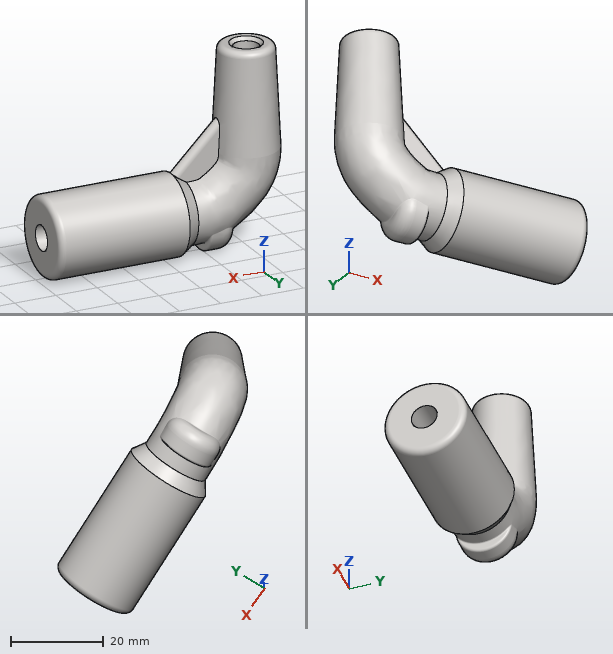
import cadquery as cq
import math

total_length = 57.15
barrel_radius = 9.515
neck_radius = 7.6
end_rounding = 1.5

bend_height = 12.75
bend_length = 15.2

spigot_top = 36.9
spigot_tip_radius = 6.4

barrel_start = 18.25
barrel_end = total_length - neck_radius

bore_radius = 3.0
mouth_chamfer = 0.8

web_width = 3.1
web_depth = 9.15
web_inset = 3.45
ridge_intercept = barrel_start + barrel_radius

lug_start = 5.1
lug_end = 11.55
lug_radius = 6.45
lug_bottom = -9.55
lug_nose_rounding = 3.2
lug_back_rounding = 0.6
lug_root_fillet = 0.3


def make_elbow(radius):
    """Round bar following the bend from the spigot root to the barrel shoulder."""
    centreline = cq.Workplane("XZ").moveTo(0, bend_height).spline(
        [
            (
                bend_length * (1 - math.cos(math.radians(angle))),
                bend_height * (1 - math.sin(math.radians(angle))),
            )
            for angle in (30, 60, 90)
        ],
        tangents=[(0, -1), (1, 0)],
        includeCurrent=True,
    )
    return cq.Workplane("XY", origin=(0, 0, bend_height)).circle(radius).sweep(centreline)


def make_spigot():
    return (
        cq.Workplane("XZ")
        .moveTo(0, bend_height)
        .lineTo(neck_radius, bend_height)
        .lineTo(spigot_tip_radius, spigot_top)
        .lineTo(0, spigot_top)
        .close()
        .revolve(360, (0, 0, 0), (0, 1, 0))
        .faces(">Z")
        .edges()
        .fillet(end_rounding)
    )


def make_barrel():
    return (
        cq.Workplane("XZ")
        .moveTo(bend_length, 0)
        .lineTo(bend_length, neck_radius)
        .lineTo(barrel_start, barrel_radius)
        .lineTo(barrel_end, barrel_radius)
        .lineTo(barrel_end, 0)
        .close()
        .revolve(360, (0, 0, 0), (1, 0, 0))
        .faces(">X")
        .edges()
        .fillet(end_rounding)
    )


def make_web():
    """Round-edged bar sloping at 45 degrees, its ends and lower edge buried in the body."""
    ridge_plane = cq.Plane(
        origin=(web_inset, 0, ridge_intercept - web_inset),
        xDir=(0, 1, 0),
        normal=(1, 0, -1),
    )
    half_width = web_width / 2
    return (
        cq.Workplane(ridge_plane)
        .moveTo(-half_width, -web_depth)
        .lineTo(-half_width, -half_width)
        .threePointArc((0, 0), (half_width, -half_width))
        .lineTo(half_width, -web_depth)
        .close()
        .extrude((ridge_intercept - 2 * web_inset) * math.sqrt(2))
    )


def make_lug():
    return (
        cq.Workplane("YZ", origin=(lug_start, 0, lug_bottom + lug_radius))
        .circle(lug_radius)
        .extrude(lug_end - lug_start)
        .faces("<X")
        .edges()
        .fillet(lug_nose_rounding)
        .faces(">X")
        .edges()
        .fillet(lug_back_rounding)
    )


def make_bore():
    mouth = cq.Workplane(
        cq.Solid.makeCone(
            bore_radius, bore_radius + mouth_chamfer, mouth_chamfer,
            cq.Vector(0, 0, spigot_top - mouth_chamfer),
        )
    )
    upright = (
        cq.Workplane("XY", origin=(0, 0, bend_height))
        .circle(bore_radius)
        .extrude(spigot_top - bend_height)
    )
    level = (
        cq.Workplane("YZ", origin=(bend_length, 0, 0))
        .circle(bore_radius)
        .extrude(barrel_end - bend_length)
    )
    return make_elbow(bore_radius).union(upright).union(level).union(mouth)


def fillet_lug_root(body):
    """Round the seam where the lug meets the elbow and neck."""
    lug_zone = cq.selectors.BoxSelector(
        (lug_start - 0.6, -lug_radius, lug_bottom),
        (lug_end + 0.6, lug_radius, 0),
    )
    return body.edges(lug_zone).edges("%BSPLINE").fillet(lug_root_fillet)


body = make_elbow(neck_radius).union(make_barrel()).union(make_lug())
body = fillet_lug_root(body)
result = body.union(make_spigot()).union(make_web()).cut(make_bore())